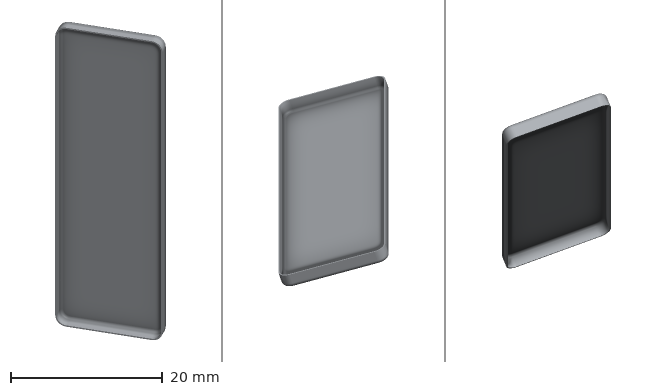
import cadquery as cq

width = 14.8
depth = 2.0
height = 46.0

wall = 0.2
corner_radius = 1.5
back_edge_radius = 0.6

cavity_width = width - 2 * wall
cavity_depth = depth - wall
cavity_height = height - 2 * wall
cavity_corner_radius = corner_radius - wall
cavity_edge_radius = back_edge_radius - wall


def rounded_block(size_x, size_y, size_z, side_radius, back_radius):
    """Block from Y = 0 to size_y with rounded corners and a rounded back edge."""
    block = cq.Workplane("XY").box(size_x, size_y, size_z, centered=(True, False, True))
    block = block.edges("|Y").fillet(side_radius)
    return block.faces(">Y").edges().fillet(back_radius)


shell = rounded_block(width, depth, height, corner_radius, back_edge_radius)
cavity = rounded_block(
    cavity_width,
    cavity_depth,
    cavity_height,
    cavity_corner_radius,
    cavity_edge_radius,
)

result = shell.cut(cavity)